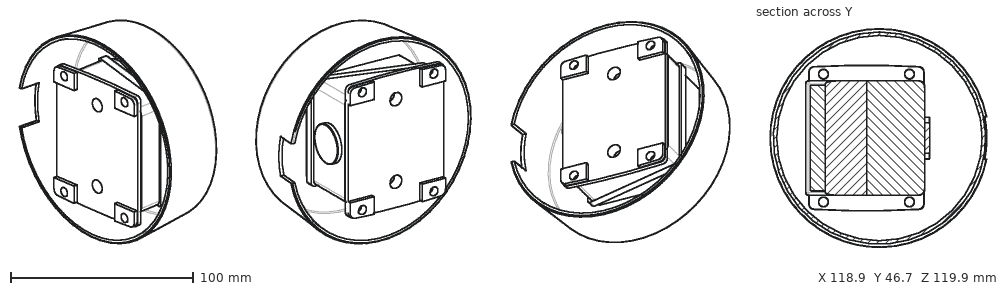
import cadquery as cq
import math


RIM_RADIUS = 60.0
COVER_DEPTH = 40.0
WALL_TAPER = math.radians(4.7)
RIM_INNER_RADIUS = 57.8
FLOOR_THICKNESS = 2.4
BACK_FILLET = 3.0
RIM_FILLET = 0.6
FLOOR_FILLET = 0.7
FLOOR_Y = COVER_DEPTH - FLOOR_THICKNESS
NOTCH_WIDTH = 23.5
NOTCH_DEPTH = 12.4

BOX_CENTRE_X = 7.1

BOX_WIDTH = 63.9
BOX_HEIGHT = 62.8
BOX_CORNER_RADIUS = 3.6
BOX_FRONT_Y = -1.8
PLATE_WIDTH = 63.1
PLATE_HEIGHT = 79.9
PLATE_BOW = 1.0
PLATE_THICKNESS = 2.6
PLATE_CORNER_RADIUS = 3.0
PLATE_FRONT_Y = BOX_FRONT_Y - PLATE_THICKNESS
FOOT_WIDTH = 15.7
FOOT_INNER_Z = 28.9
FOOT_THICKNESS = 2.3
FOOT_INSET = 0.4
FOOT_HOLE_DIAMETER = 5.2
FOOT_HOLE_SPACING_X = 47.1
FOOT_HOLE_SPACING_Z = 70.0
PLATE_HOLE_DIAMETER = 7.7
PLATE_HOLE_SPACING = 49.2
PLATE_HOLE_DEPTH = 7.2

TILT = math.radians(15)
LID_FRONT_Y = 20.4
LID_WIDTH = 66.7
LID_THICKNESS = 5.9
LID_CORNER_RADIUS = 1.8
LID_BACK_FILLET = 1.7

SPACER_INSET = 2.4
SPACER_CORNER_RADIUS = 1.0

PLUG_DIAMETER = 23.0
PLUG_THICKNESS = 2.8
PLUG_CENTRE_Y = 12.6
PLUG_CHAMFER = 0.4

BEYOND = 179.9


def cross_section(y):
    """Workplane across the Y axis at the given y; extruding by -d goes to +Y."""
    return cq.Workplane("XZ", origin=(BOX_CENTRE_X, y, 0))


def block(width, height, front_y, back_y):
    return cross_section(front_y).rect(width, height).extrude(front_y - back_y)


def behind_tilted_plane(offset):
    """Everything behind the lid's front plane moved back by offset along its normal."""
    return (
        cq.Workplane("XY")
        .box(2 * BEYOND, BEYOND, 2 * BEYOND, centered=(True, False, True))
        .translate((0, offset, 0))
        .rotate((0, 0, 0), (0, 0, 1), -math.degrees(TILT))
        .translate((BOX_CENTRE_X, LID_FRONT_Y, 0))
    )


def tapered_plug(rim_radius, depth, end_fillet):
    """Solid cone frustum from the rim plane to the given depth, rounded at its far end."""
    end_radius = rim_radius - depth * math.tan(WALL_TAPER)
    return (
        cq.Workplane("YZ")
        .polyline([(0, 0), (0, rim_radius), (depth, end_radius), (depth, 0)])
        .close()
        .revolve(360, (0, 0), (1, 0))
        .faces(">Y")
        .edges()
        .fillet(end_fillet)
    )


def make_cover():
    outside = tapered_plug(RIM_RADIUS, COVER_DEPTH, BACK_FILLET).faces("<Y").edges().fillet(RIM_FILLET)
    cavity = tapered_plug(RIM_INNER_RADIUS, FLOOR_Y, FLOOR_FILLET)
    notch = cq.Workplane("XY").box(BEYOND, 2 * NOTCH_DEPTH, NOTCH_WIDTH).translate((-BEYOND / 2, 0, 0))
    return outside.cut(cavity).cut(notch)


def plate_outline(front_y, back_y, inset=0):
    """Rounded plate with bowed top and bottom edges, inset on every side but the left."""
    left = -PLATE_WIDTH / 2
    right = PLATE_WIDTH / 2 - inset
    crown = PLATE_HEIGHT / 2 - inset
    corner = crown - PLATE_BOW
    return (
        cross_section(front_y)
        .moveTo(left, -corner)
        .threePointArc((0, -crown), (right, -corner))
        .lineTo(right, corner)
        .threePointArc((0, crown), (left, corner))
        .close()
        .extrude(front_y - back_y)
        .edges("|Y")
        .fillet(PLATE_CORNER_RADIUS)
    )


def make_feet():
    """Four corner pads following the plate outline."""
    front_y = PLATE_FRONT_Y - FOOT_THICKNESS
    feet = plate_outline(front_y, PLATE_FRONT_Y, FOOT_INSET)
    gap = PLATE_WIDTH - 2 * FOOT_WIDTH
    feet = feet.cut(block(gap, PLATE_HEIGHT, front_y, PLATE_FRONT_Y))
    feet = feet.cut(block(PLATE_WIDTH, 2 * FOOT_INNER_Z, front_y, PLATE_FRONT_Y))
    return feet


def make_base():
    box = block(BOX_WIDTH, BOX_HEIGHT, BOX_FRONT_Y, FLOOR_Y).edges("|Y").fillet(BOX_CORNER_RADIUS)
    box = box.cut(behind_tilted_plane(0))
    base = box.union(plate_outline(PLATE_FRONT_Y, BOX_FRONT_Y)).union(make_feet())
    foot_holes = (
        cross_section(PLATE_FRONT_Y - FOOT_THICKNESS)
        .rarray(FOOT_HOLE_SPACING_X, FOOT_HOLE_SPACING_Z, 2, 2)
        .circle(FOOT_HOLE_DIAMETER / 2)
        .extrude(-FOOT_THICKNESS - PLATE_THICKNESS)
    )
    plate_holes = (
        cross_section(PLATE_FRONT_Y)
        .rarray(1.2, PLATE_HOLE_SPACING, 1, 2)
        .circle(PLATE_HOLE_DIAMETER / 2)
        .extrude(-PLATE_HOLE_DEPTH)
    )
    return base.cut(foot_holes).cut(plate_holes)


def make_lid():
    prism = block(LID_WIDTH, BOX_HEIGHT, 0, COVER_DEPTH).edges("|Y").fillet(LID_CORNER_RADIUS)
    lid = prism.intersect(behind_tilted_plane(0)).cut(behind_tilted_plane(LID_THICKNESS))
    back_normal = cq.Vector(math.sin(TILT), math.cos(TILT), 0)
    back_face = cq.selectors.DirectionMinMaxSelector(back_normal, True)
    return lid.faces(back_face).edges().fillet(LID_BACK_FILLET)


def make_spacer():
    width = LID_WIDTH - 2 * SPACER_INSET
    height = BOX_HEIGHT - 2 * SPACER_INSET
    prism = block(width, height, 0, FLOOR_Y).edges("|Y").fillet(SPACER_CORNER_RADIUS)
    return prism.intersect(behind_tilted_plane(LID_THICKNESS))


def make_plug():
    side_x = BOX_CENTRE_X - BOX_WIDTH / 2
    return (
        cq.Workplane("YZ", origin=(side_x, PLUG_CENTRE_Y, 0))
        .circle(PLUG_DIAMETER / 2)
        .extrude(-PLUG_THICKNESS)
        .faces("<X")
        .edges()
        .chamfer(PLUG_CHAMFER)
    )


cover = make_cover()
base = make_base()
lid = make_lid()
spacer = make_spacer()
plug = make_plug()

result = cq.Compound.makeCompound([cover.val(), base.val(), lid.val(), spacer.val(), plug.val()])